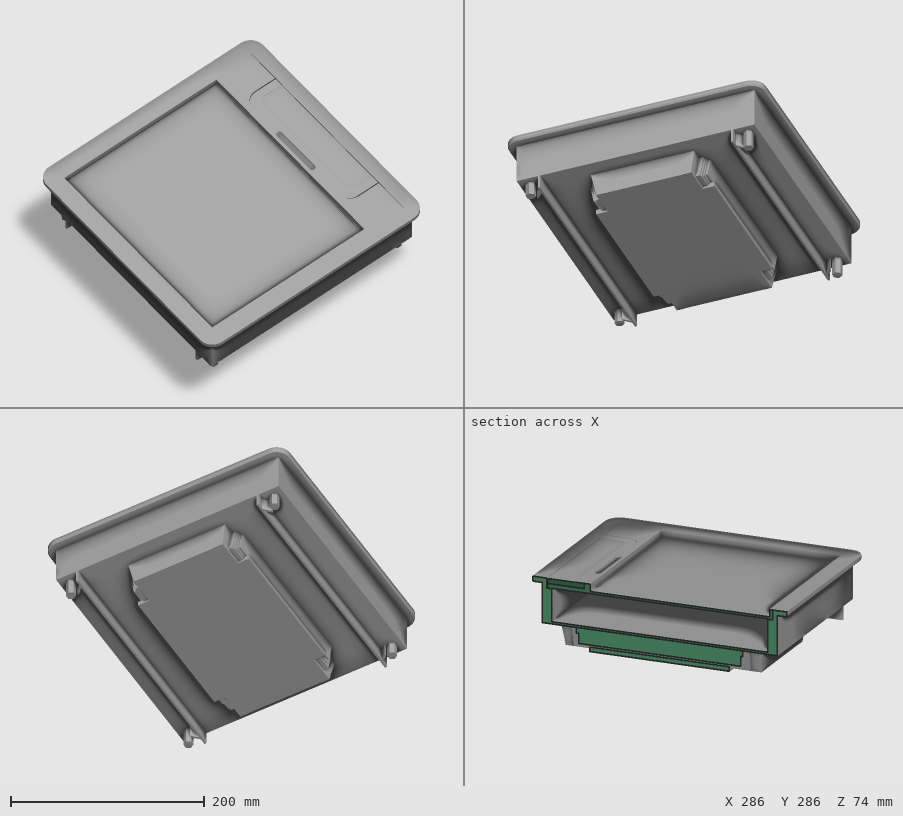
import cadquery as cq
import math

FLANGE_SIDE = 286.0
FLANGE_THICKNESS = 6.0
FLANGE_CORNER_RADIUS = 16.3
FLANGE_CHAMFER = 1.5
BOX_SIDE = 264.8
BOX_BOTTOM = -49.8
FLOOR_THICKNESS = 3.0
OPENING_WIDTH = 251.7
OPENING_LENGTH = 253.5
SEAT_WIDTH = 5.7

RAIL_INNER_X = 106.5
RAIL_THICKNESS = 2.3
RAIL_BOTTOM = -64.5
TAB_ROOT_Y = 125.0
TAB_REACH = 7.1

HEX_ACROSS_FLATS = 9.2
HEX_OFFSET = 121.3
HEX_BOTTOM_LEFT = -69.2
HEX_BOTTOM_RIGHT = RAIL_BOTTOM

LID_BACK_GAP = 0.5
LID_THICKNESS = 11.0
RECESS_DEPTH = 8.0
RECESS_HALF_WIDTH = 122.0
RECESS_FRONT_Y = -123.3
RECESS_BACK_Y = 77.8
LEDGE_WIDTH = 1.0
LEDGE_HEIGHT = 1.1

FLAP_THICKNESS = 5.7
FLAP_FRONT_Y = 85.0
FLAP_POCKET_HALF_WIDTH = 85.8
FLAP_POCKET_RADIUS = 15.0
FLAP_SIDE_GAP = 1.5
INLAY_HALF_WIDTH = 75.0
INLAY_FRONT_Y = 95.8
INLAY_RADIUS = 8.3
INLAY_STEP = 0.3
GRIP_RADIUS = 3.5
GRIP_HALF_LENGTH = 30.3

CRADLE_BOTTOM = -74.0
CRADLE_TOP_HALF_X = 57.5
CRADLE_BOTTOM_HALF_X = 53.0
CRADLE_TOP_HALF_Y = 113.2
CRADLE_BOTTOM_HALF_Y = 109.8
SIDE_PADS = [(4.5, 99.0, -71.8), (5.7, 96.5, -71.8), (7.0, 93.8, -69.5), (9.2, 91.5, -67.0)]
FOOT_HALF_X = 65.8
FOOT_HALF_Y = 78.5
FOOT_TOP = -68.5
CORNER_TAB_INNER_X = 43.5
CORNER_TAB_HEIGHT = 0.3

BOX_HALF = BOX_SIDE / 2
OPENING_HALF_X = OPENING_WIDTH / 2
OPENING_HALF_Y = OPENING_LENGTH / 2
LID_BACK_Y = OPENING_HALF_Y - LID_BACK_GAP


def block(x_range, y_range, z_range):
    """Axis-aligned block between the given limits."""
    (x0, x1), (y0, y1), (z0, z1) = x_range, y_range, z_range
    return cq.Workplane("XY").box(x1 - x0, y1 - y0, z1 - z0, centered=False).translate((x0, y0, z0))


def centred_block(half_x, half_y, z_range):
    """Block centred on the Z axis."""
    return block((-half_x, half_x), (-half_y, half_y), z_range)


def make_rail():
    """Rail on the +X side with a 45 degree tab near each end."""
    z_range = (RAIL_BOTTOM, BOX_BOTTOM)
    outer_x = RAIL_INNER_X + RAIL_THICKNESS
    rail = block((RAIL_INNER_X, outer_x), (-BOX_HALF, BOX_HALF), z_range)
    slant = RAIL_THICKNESS * math.sqrt(2)
    for side in (-1, 1):
        tab = (
            cq.Workplane("XY", origin=(0, 0, RAIL_BOTTOM))
            .polyline([
                (outer_x, side * TAB_ROOT_Y),
                (outer_x + TAB_REACH, side * (TAB_ROOT_Y - TAB_REACH)),
                (outer_x + TAB_REACH, side * (TAB_ROOT_Y - TAB_REACH - slant)),
                (outer_x, side * (TAB_ROOT_Y - slant)),
            ])
            .close()
            .extrude(BOX_BOTTOM - RAIL_BOTTOM)
        )
        rail = rail.union(tab)
    return rail


def make_standoff(x, y, bottom):
    """Hexagonal standoff with two flats facing along X."""
    return (
        cq.Workplane("XY", origin=(x, y, bottom))
        .polygon(6, HEX_ACROSS_FLATS, circumscribed=True)
        .extrude(BOX_BOTTOM - bottom)
    )


def make_housing():
    """Flanged tub with a seat for the lid, two rails and four standoffs below."""
    housing = (
        centred_block(FLANGE_SIDE / 2, FLANGE_SIDE / 2, (-FLANGE_THICKNESS, 0))
        .edges("|Z").fillet(FLANGE_CORNER_RADIUS)
        .faces("<Z").chamfer(FLANGE_CHAMFER)
        .union(centred_block(BOX_HALF, BOX_HALF, (BOX_BOTTOM, -FLANGE_THICKNESS)))
    )
    inner_x = OPENING_HALF_X - SEAT_WIDTH
    inner_y = OPENING_HALF_Y - SEAT_WIDTH
    housing = housing.cut(centred_block(OPENING_HALF_X, OPENING_HALF_Y, (-LID_THICKNESS, 0)))
    housing = housing.cut(
        centred_block(inner_x, inner_y, (BOX_BOTTOM + FLOOR_THICKNESS, -LID_THICKNESS))
    )
    rail = make_rail()
    housing = housing.union(rail).union(rail.mirror("YZ"))
    for x, bottom in ((-HEX_OFFSET, HEX_BOTTOM_LEFT), (HEX_OFFSET, HEX_BOTTOM_RIGHT)):
        for y in (-HEX_OFFSET, HEX_OFFSET):
            housing = housing.union(make_standoff(x, y, bottom))
    return housing


def tongue(half_width, front_y, radius, thickness):
    """Plate below Z = 0 reaching the back edge of the lid, with rounded front corners."""
    plate = block((-half_width, half_width), (front_y, LID_BACK_Y), (-thickness, 0))
    return plate.edges("|Z and <Y").fillet(radius)


def make_grip():
    """Round-ended finger groove lying across the front edge of the flap."""
    end_x = GRIP_HALF_LENGTH - GRIP_RADIUS
    grip = cq.Workplane("YZ", origin=(-end_x, FLAP_FRONT_Y, 0)).circle(GRIP_RADIUS).extrude(2 * end_x)
    for x in (-end_x, end_x):
        grip = grip.union(cq.Workplane("XY", origin=(x, FLAP_FRONT_Y, 0)).sphere(GRIP_RADIUS))
    return grip


def make_lid():
    """Lid with a recess, a narrow ledge along its back wall and a pocket for the flap."""
    lid = block((-OPENING_HALF_X, OPENING_HALF_X), (-OPENING_HALF_Y, LID_BACK_Y), (-LID_THICKNESS, 0))
    recess_x = (-RECESS_HALF_WIDTH, RECESS_HALF_WIDTH)
    lid = lid.cut(block(recess_x, (RECESS_FRONT_Y, RECESS_BACK_Y), (-RECESS_DEPTH, 0)))
    ledge_z = (-RECESS_DEPTH, -RECESS_DEPTH + LEDGE_HEIGHT)
    lid = lid.union(block(recess_x, (RECESS_BACK_Y - LEDGE_WIDTH, RECESS_BACK_Y), ledge_z))
    lid = lid.cut(tongue(FLAP_POCKET_HALF_WIDTH, FLAP_FRONT_Y, FLAP_POCKET_RADIUS, FLAP_THICKNESS))
    return lid.cut(make_grip())


def make_flap():
    """Cable flap lying in the lid pocket, with a slightly sunk middle panel."""
    half_width = FLAP_POCKET_HALF_WIDTH - FLAP_SIDE_GAP
    radius = FLAP_POCKET_RADIUS - FLAP_SIDE_GAP
    flap = tongue(half_width, FLAP_FRONT_Y, radius, FLAP_THICKNESS)
    flap = flap.cut(tongue(INLAY_HALF_WIDTH, INLAY_FRONT_Y, INLAY_RADIUS, INLAY_STEP))
    return flap.cut(make_grip())


def tapered_core():
    """Block narrowing downwards from the housing floor."""
    return (
        cq.Workplane("XY", origin=(0, 0, BOX_BOTTOM))
        .rect(2 * CRADLE_TOP_HALF_X, 2 * CRADLE_TOP_HALF_Y)
        .workplane(offset=CRADLE_BOTTOM - BOX_BOTTOM)
        .rect(2 * CRADLE_BOTTOM_HALF_X, 2 * CRADLE_BOTTOM_HALF_Y)
        .loft()
    )


def make_side_pad(offset, half_y, bottom):
    """Slab with sides parallel to the sloping cradle sides, standing out by the offset."""
    slope = (CRADLE_TOP_HALF_X - CRADLE_BOTTOM_HALF_X) / (BOX_BOTTOM - CRADLE_BOTTOM)
    top_x = CRADLE_TOP_HALF_X + offset
    bottom_x = top_x - slope * (BOX_BOTTOM - bottom)
    return (
        cq.Workplane("XZ", origin=(0, half_y, 0))
        .polyline([(-top_x, BOX_BOTTOM), (top_x, BOX_BOTTOM), (bottom_x, bottom), (-bottom_x, bottom)])
        .close()
        .extrude(2 * half_y)
    )


def corner_tabs():
    """Thin raised tabs at the lower corners of both sloping ends."""
    tabs = cq.Workplane("XY")
    z_range = (CRADLE_BOTTOM, FOOT_TOP)
    for end in (-1, 1):
        shifted_core = tapered_core().translate((0, end * CORNER_TAB_HEIGHT, 0))
        end_y = sorted((end * FOOT_HALF_Y, end * CRADLE_TOP_HALF_Y))
        for x_range in (
            (-CRADLE_TOP_HALF_X, -CORNER_TAB_INNER_X),
            (CORNER_TAB_INNER_X, CRADLE_TOP_HALF_X),
        ):
            tabs = tabs.union(shifted_core.intersect(block(x_range, end_y, z_range)))
    return tabs


def make_cradle():
    """Tapered cradle with stepped side pads and a wider foot."""
    cradle = tapered_core()
    for offset, half_y, bottom in SIDE_PADS:
        cradle = cradle.union(make_side_pad(offset, half_y, bottom))
    cradle = cradle.union(corner_tabs())
    return cradle.union(centred_block(FOOT_HALF_X, FOOT_HALF_Y, (CRADLE_BOTTOM, FOOT_TOP)))


housing = make_housing()
lid = make_lid()
flap = make_flap()
cradle = make_cradle()

result = cq.Compound.makeCompound([housing.val(), lid.val(), flap.val(), cradle.val()])